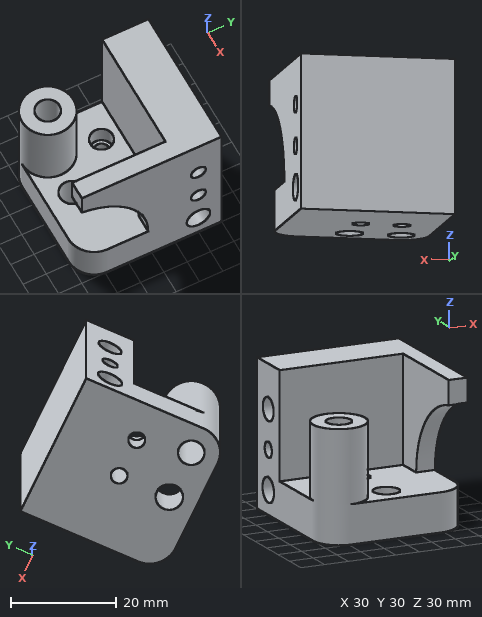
import cadquery as cq

side = 30.0
base_thickness = 8.0
back_wall_thickness = 10.0
side_wall_thickness = 4.0

post_diameter = 11.0
post_height = 23.0
post_bore_diameter = 5.0
corner_radius = post_diameter / 2

small_diameter = 3.15
counterbore_diameter = 4.7
counterbore_depth = 4.0
base_large_diameter = 5.2
wall_large_diameter = 5.0
base_small_row_y = 16.0
base_counterbored_x = 7.5
base_plain_x = 15.5
wall_holes_y = side - back_wall_thickness / 2
wall_counterbored_z = 21.0
wall_plain_z = 13.0
wall_large_z = 5.0

cutout_radius = 17.25
cutout_center_y = -3.0


def box(x_size, y_size, z_size, x=0, y=0, z=0):
    """Box with its lowest corner at (x, y, z)."""
    return cq.Workplane("XY").box(x_size, y_size, z_size, centered=False).translate((x, y, z))


def vertical_cylinder(diameter, height, x, y, z=0):
    """Cylinder along Z, rising from (x, y, z)."""
    return cq.Workplane("XY", origin=(x, y, z)).circle(diameter / 2).extrude(height)


def cross_cylinder(diameter, length, y, z, x=0):
    """Cylinder along X, starting at (x, y, z)."""
    return cq.Workplane("YZ", origin=(x, y, z)).circle(diameter / 2).extrude(length)


base = box(side, side, base_thickness).edges("|Z and <Y").fillet(corner_radius)

back_wall = box(side, back_wall_thickness, side, y=side - back_wall_thickness)

side_wall_x = side - side_wall_thickness
side_wall = box(side_wall_thickness, side, side - base_thickness, x=side_wall_x, z=base_thickness)
cutout = cross_cylinder(2 * cutout_radius, side_wall_thickness, cutout_center_y, base_thickness, side_wall_x)
side_wall = side_wall.cut(cutout)

post = vertical_cylinder(post_diameter, post_height, corner_radius, corner_radius)

result = base.union(back_wall).union(side_wall).union(post)

result = result.cut(vertical_cylinder(post_bore_diameter, post_height, corner_radius, corner_radius))

base_holes = [
    (base_large_diameter, base_plain_x, corner_radius),
    (small_diameter, base_plain_x, base_small_row_y),
    (small_diameter, base_counterbored_x, base_small_row_y),
]
for diameter, x, y in base_holes:
    result = result.cut(vertical_cylinder(diameter, base_thickness, x, y))

base_counterbore_floor = base_thickness - counterbore_depth
result = result.cut(
    vertical_cylinder(
        counterbore_diameter, counterbore_depth, base_counterbored_x, base_small_row_y, base_counterbore_floor
    )
)

wall_holes = [
    (wall_large_diameter, wall_large_z),
    (small_diameter, wall_plain_z),
    (small_diameter, wall_counterbored_z),
]
for diameter, z in wall_holes:
    result = result.cut(cross_cylinder(diameter, side, wall_holes_y, z))

result = result.cut(
    cross_cylinder(counterbore_diameter, counterbore_depth, wall_holes_y, wall_counterbored_z)
)